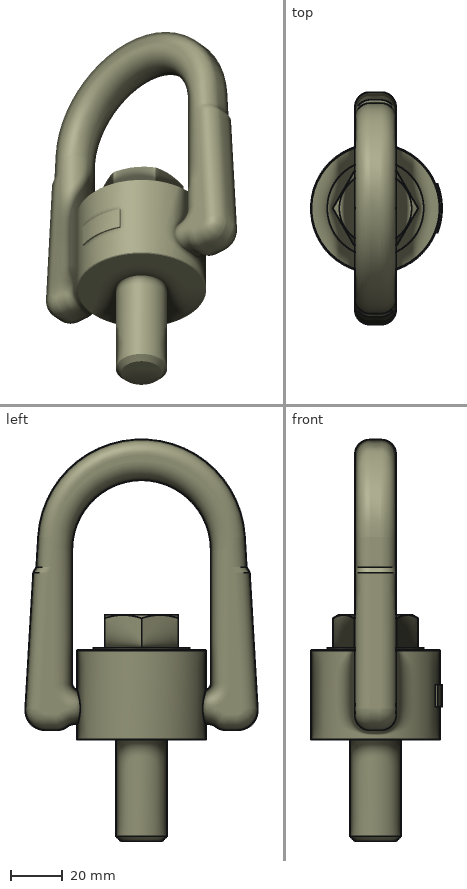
import cadquery as cq
import math


shank_radius = 10.0
shank_tip_chamfer = 2.0

body_radius = 25.0
body_bottom = 39.1
body_height = 34.8
body_top = body_bottom + body_height
body_edge_chamfer = 0.3
washer_radius = 18.6
washer_thickness = 1.0

head_flats = 28.5
head_top = 87.6
head_base = body_top + washer_thickness
head_height = head_top - head_base
head_cap_radius = 14
head_chamfer_slope = math.tan(math.radians(30))
socket_flats = 13.7
socket_depth = 6.2

tag_thickness = 0.8
tag_width = 19.0
tag_bottom = 52.0
tag_height = 8.4

link_thickness = 16.0
link_top = 155.3
outer_arch_radius = 40.0
outer_arch_z = link_top - outer_arch_radius
inner_arch_radius = 26.7
inner_arch_z = 112.7
outer_rounding = 5.9
inner_rounding = 7.1

leg_growth = 1.1
leg_step_bottom = 103.7
leg_step_top = 105.9

link_width = 89.9
foot_reach = link_width / 2
foot_bottom = 42.9
foot_radius = 7.9
foot_center_y = foot_reach - foot_radius
foot_center_z = foot_bottom + foot_radius
foot_flat_end = 32.6
pin_end = 18.6
pin_bottom = 45.2
pin_top = 58.4
pin_inner_radius = 2.5
underside_outer_radius = 6.2
underside_inner_radius = 4.7


def hexagon(flats, base, height):
    """Hexagonal prism with two corners on the X axis."""
    corner_diameter = flats / math.cos(math.pi / 6)
    return cq.Workplane("XY").workplane(offset=base).polygon(6, corner_diameter).extrude(height)


def cylinder(radius, base, height):
    return cq.Workplane("XY").workplane(offset=base).circle(radius).extrude(height)


def make_head():
    """Hexagonal head whose upper corners are turned down by a cone."""
    head = hexagon(head_flats, head_base, head_height)
    cone_base_radius = head_cap_radius + head_height / head_chamfer_slope
    cone = (
        cq.Workplane("XZ")
        .moveTo(0, head_base)
        .lineTo(cone_base_radius, head_base)
        .lineTo(head_cap_radius, head_top)
        .lineTo(0, head_top)
        .close()
        .revolve(360, (0, 0, 0), (0, 1, 0))
    )
    return head.intersect(cone)


def make_tag():
    """Band that follows the body wall, centred on the +X axis."""
    outer_radius = body_radius + tag_thickness
    band = cylinder(outer_radius, tag_bottom, tag_height)
    window = (
        cq.Workplane("XY")
        .workplane(offset=tag_bottom)
        .rect(outer_radius, tag_width)
        .extrude(tag_height)
        .translate((outer_radius / 2, 0, 0))
    )
    return band.intersect(window)


def on_circle(center_y, center_z, radius, degrees):
    angle = math.radians(degrees)
    return (center_y + radius * math.cos(angle), center_z + radius * math.sin(angle))


def make_half_link(growth):
    """The +Y half of the link, its outer side moved out by growth beyond the plain arch."""
    arch_radius = outer_arch_radius + growth
    corner_radius = foot_radius - leg_growth + growth

    drop = outer_arch_z - foot_center_z
    center_distance = math.hypot(foot_center_y, drop)
    center_tilt = math.degrees(math.atan2(foot_center_y, drop))
    flare = center_tilt - math.degrees(math.asin((arch_radius - corner_radius) / center_distance))

    sole = foot_center_z - corner_radius
    radius_sum = underside_outer_radius + underside_inner_radius
    bend = math.degrees(math.acos(1 - (pin_bottom - sole) / radius_sum))
    bend_run = radius_sum * math.sin(math.radians(bend))
    outer_bend = (foot_flat_end, sole + underside_outer_radius, underside_outer_radius)
    inner_bend = (foot_flat_end - bend_run, pin_bottom - underside_inner_radius, underside_inner_radius)

    inner_bend_y = inner_arch_radius - pin_inner_radius
    inner_bend_z = pin_top + pin_inner_radius

    half_link = (
        cq.Workplane("YZ")
        .moveTo(0, outer_arch_z + arch_radius)
        .threePointArc(
            on_circle(0, outer_arch_z, arch_radius, 45),
            on_circle(0, outer_arch_z, arch_radius, flare),
        )
        .lineTo(*on_circle(foot_center_y, foot_center_z, corner_radius, flare))
        .threePointArc(
            on_circle(foot_center_y, foot_center_z, corner_radius, -45),
            (foot_center_y, sole),
        )
        .lineTo(foot_flat_end, sole)
        .threePointArc(on_circle(*outer_bend, -90 - bend / 2), on_circle(*outer_bend, -90 - bend))
        .threePointArc(on_circle(*inner_bend, 90 - bend / 2), on_circle(*inner_bend, 90))
        .lineTo(pin_end, pin_bottom)
        .lineTo(pin_end, pin_top)
        .lineTo(inner_bend_y, pin_top)
        .threePointArc(
            on_circle(inner_bend_y, inner_bend_z, pin_inner_radius, -45),
            (inner_arch_radius, inner_bend_z),
        )
        .lineTo(inner_arch_radius, inner_arch_z)
        .threePointArc(
            on_circle(0, inner_arch_z, inner_arch_radius, 45),
            (0, inner_arch_z + inner_arch_radius),
        )
        .close()
        .extrude(link_thickness / 2, both=True)
    )
    outer_start = on_circle(0, outer_arch_z, arch_radius, 45)
    inner_start = (inner_arch_radius, (inner_bend_z + inner_arch_z) / 2)
    for (y, z), rounding in ((outer_start, outer_rounding), (inner_start, inner_rounding)):
        for x in (-link_thickness / 2, link_thickness / 2):
            half_link = half_link.edges(cq.selectors.NearestToPointSelector((x, y, z))).fillet(rounding)
    return half_link


def above(level):
    """Large block filling the space above a level."""
    return cq.Workplane("XY").workplane(offset=level).rect(2 * link_top, 2 * link_top).extrude(link_top)


def make_link():
    """Plain arch on thickened legs, joined by a short sloping step, mirrored to both sides."""
    arch = make_half_link(0).intersect(above(leg_step_top))
    leg = make_half_link(leg_growth).cut(above(leg_step_bottom))
    step = cq.Solid.makeLoft(
        [leg.faces(">Z").val().outerWire(), arch.faces("<Z").val().outerWire()], True
    )
    half = arch.union(cq.Workplane(step)).union(leg)
    return half.union(half.mirror("XZ"))


shank = cylinder(shank_radius, 0, body_bottom).faces("<Z").chamfer(shank_tip_chamfer)
body = cylinder(body_radius, body_bottom, body_height).edges().chamfer(body_edge_chamfer)
washer = cylinder(washer_radius, body_top, washer_thickness)
socket = hexagon(socket_flats, head_top - socket_depth, socket_depth)

result = (
    body.union(shank)
    .union(washer)
    .union(make_head())
    .cut(socket)
    .union(make_tag())
    .union(make_link())
)